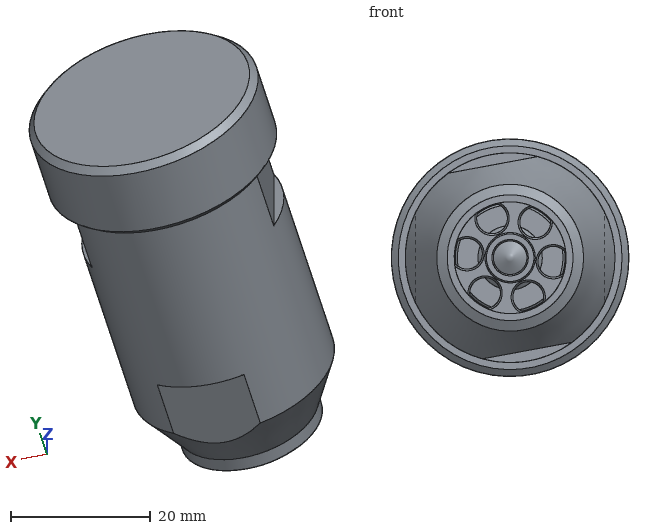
import cadquery as cq
import math

length = 60.0

head_radius = 17.0
head_length = 12.0
head_chamfer = 1.0

body_radius = 15.0
nose_radius = 10.5
nose_length = 3.0
nose_chamfer_length = 1.0
nose_tip_radius = 9.0
cone_half_angle = 30.0
cone_length = (body_radius - nose_radius) / math.tan(math.radians(cone_half_angle))

flat_distance = 13.5
side_flat_length = 10.0
front_flat_tilt = 10.5
front_flat_back = 19.5

bore_radius = 8.0
bore_depth = 30.0

hub_radius = 3.6
hub_height = 2.0
recess_radius = 2.6
edge_chamfer = 0.2
tip_radius = recess_radius - edge_chamfer
tip_height = 1.5

pocket_count = 6
pocket_radius = 2.2
pocket_chamfer = 0.25
pocket_circle_radius = 6.2
pocket_start_angle = -5.3
pocket_depth = 4.0

seat_height = 1.0
seat_top_radius = 3.6
seat_base_radius = 4.6
seat_rim_radius = 7.55
seat_rim_chamfer = 0.3

head_start = length - head_length


def revolve_about_y(points):
    """Revolve a closed (radius, y) outline about the Y axis."""
    return cq.Workplane("XY").polyline(points).close().revolve(360, (0, 0, 0), (0, 1, 0))


def cylinder_along_y(radius, start, end):
    return revolve_about_y([(0, start), (radius, start), (radius, end), (0, end)])


def make_outer_body():
    return revolve_about_y([
        (0, 0),
        (nose_tip_radius, 0),
        (nose_radius, nose_chamfer_length),
        (nose_radius, nose_length),
        (body_radius, nose_length + cone_length),
        (body_radius, head_start),
        (head_radius - head_chamfer, head_start),
        (head_radius, head_start + head_chamfer),
        (head_radius, length - head_chamfer),
        (head_radius - head_chamfer, length),
        (0, length),
    ])


def make_flat_pair(start, end, angle):
    """Two opposite cutters that face along +-X, then turned about Y by angle."""
    width = 2 * body_radius
    depth = body_radius
    cutters = cq.Workplane("XY")
    for side in (-1, 1):
        center = (side * (flat_distance + depth / 2), (start + end) / 2, 0)
        cutters = cutters.add(cq.Workplane("XY").box(depth, end - start, width).translate(center))
    return cutters.combine().rotate((0, 0, 0), (0, 1, 0), angle)


def make_hub():
    """Chamfered boss on the bore floor, with a cone standing in its recess."""
    top = bore_depth - hub_height
    return revolve_about_y([
        (0, bore_depth),
        (hub_radius, bore_depth),
        (hub_radius, top + edge_chamfer),
        (hub_radius - edge_chamfer, top),
        (recess_radius, top),
        (tip_radius, top + edge_chamfer),
        (tip_radius, bore_depth - edge_chamfer),
        (0, bore_depth - edge_chamfer - tip_height),
    ])


def make_seat():
    """Core at the pocket bottoms: cone next to the hub, flat ring, chamfered rim."""
    floor = bore_depth + pocket_depth
    return revolve_about_y([
        (0, floor),
        (0, floor - seat_height - seat_rim_chamfer),
        (seat_top_radius, floor - seat_height - seat_rim_chamfer),
        (seat_base_radius, floor - seat_rim_chamfer),
        (seat_rim_radius, floor - seat_rim_chamfer),
        (seat_rim_radius + seat_rim_chamfer, floor),
    ])


def make_pockets():
    """Ring of chamfered pockets, kept within the bore and above the seat."""
    floor = bore_depth + pocket_depth
    pocket = revolve_about_y([
        (0, bore_depth),
        (pocket_radius + pocket_chamfer, bore_depth),
        (pocket_radius, bore_depth + pocket_chamfer),
        (pocket_radius, floor),
        (0, floor),
    ])
    pockets = cq.Workplane("XY")
    for index in range(pocket_count):
        angle = math.radians(pocket_start_angle + index * 360 / pocket_count)
        x = pocket_circle_radius * math.cos(angle)
        z = pocket_circle_radius * math.sin(angle)
        pockets = pockets.add(pocket.translate((x, 0, z)))
    pockets = pockets.combine()
    return pockets.intersect(cylinder_along_y(bore_radius, bore_depth, floor)).cut(make_seat())


side_flats = make_flat_pair(head_start - side_flat_length, head_start, 0)
front_flats = make_flat_pair(0, front_flat_back, 90 - front_flat_tilt)

part = make_outer_body().cut(side_flats).cut(front_flats)
part = part.cut(cylinder_along_y(bore_radius, 0, bore_depth))
part = part.cut(make_pockets()).union(make_hub())

result = part.translate((0, -length / 2, 0))